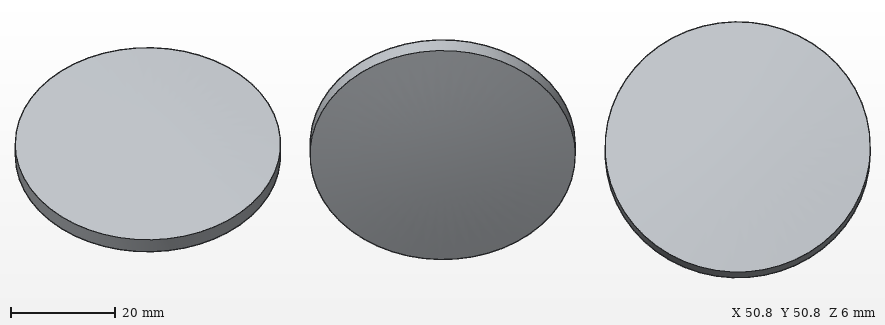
import cadquery as cq
import math

diameter = 50.8
center_thickness = 6.0
edge_thickness = 3.35

radius = diameter / 2
half_center = center_thickness / 2
half_edge = edge_thickness / 2
dome_height = half_center - half_edge
sphere_radius = (radius**2 + dome_height**2) / (2 * dome_height)

mid_radius = radius / 2
mid_height = half_center - sphere_radius + math.sqrt(sphere_radius**2 - mid_radius**2)

half_section = (
    cq.Workplane("XZ")
    .moveTo(0, -half_center)
    .threePointArc((mid_radius, -mid_height), (radius, -half_edge))
    .lineTo(radius, half_edge)
    .threePointArc((mid_radius, mid_height), (0, half_center))
    .close()
)
result = half_section.revolve(360, (0, 0), (0, 1))